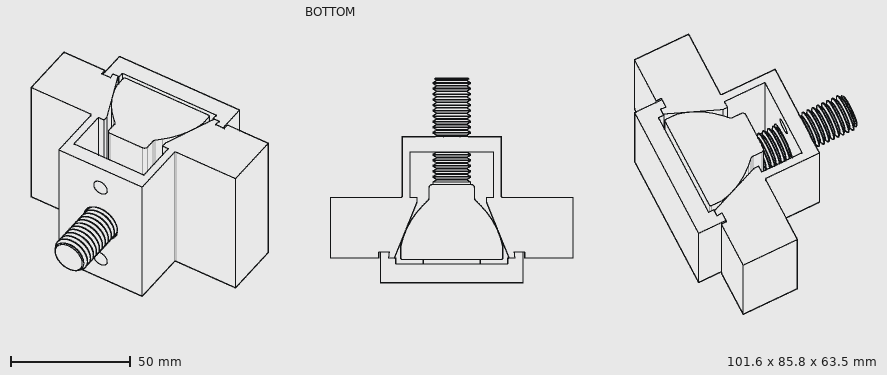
import cadquery as cq
import math


height = 63.5

flange_half = 50.8
flange_depth = 25.4
channel_half = 20.7
channel_depth = 25.4
channel_wall = 3.4
front_wall = 6.5
corner_radius = 0.5
throat_half = 14.5
throat_land = 2.1
throat_angle = math.radians(22)
groove_depth = 2.4
groove_half = 30.5
ridge_half = 26.4
ridge_undercut = 0.3
screw_hole_radius = 8.3
side_hole_radius = 3.4
side_hole_offset = 20.6

cap_half = 29.9
cap_back = 35.8
cap_floor = 27.8
cap_pocket_half = 23.4

wedge_half = 21.3
wedge_back = 26.1
wedge_front = -5.4
neck_half = 9.5
flank_radius = 33.5
flank_center_y = 27.2
shoulder_angle = math.radians(45)
wedge_back_radius = 0.7
neck_radius = 1.4
shoulder_fillet = 1.5

overall_depth = 85.8
head_radius = 12.0
thread_radius = 7.9
thread_depth = 1.4
thread_pitch = 2.31
thread_flat = thread_pitch / 8
first_root = -7.4
tip_chamfer = 1.2

throat_slope = math.tan(throat_angle)
mouth_half = throat_half + (flange_depth - throat_land) * throat_slope
screw_tip = cap_back - overall_depth


def extrude_outline(outline):
    """Extrude a closed plan outline over the full height, centred on Z = 0."""
    return outline.extrude(height / 2, both=True)


def mirrored_prism(right_half):
    """Prism from the right half of a plan outline, whose ends lie on the symmetry plane."""
    left_half = [(-x, y) for x, y in reversed(right_half) if x > 0]
    return extrude_outline(cq.Workplane("XY").polyline(right_half + left_half).close())


def cross_hole(radius, z):
    """Cylinder along Y that passes through the front wall of the channel."""
    wall_face = cq.Workplane("XZ", origin=(0, front_wall - channel_depth, z))
    return wall_face.circle(radius).extrude(front_wall)


def make_housing():
    groove_floor = flange_depth - groove_depth
    inner_half = channel_half - channel_wall
    inner_front = front_wall - channel_depth
    body = mirrored_prism([
        (0, -channel_depth),
        (channel_half, -channel_depth),
        (channel_half, 0),
        (flange_half, 0),
        (flange_half, flange_depth),
        (groove_half, flange_depth),
        (groove_half, groove_floor),
        (ridge_half - ridge_undercut, groove_floor),
        (ridge_half, flange_depth),
        (mouth_half, flange_depth),
        (throat_half, throat_land),
        (throat_half, 0),
        (inner_half, 0),
        (inner_half, inner_front),
        (0, inner_front),
    ])
    for side in (-1, 1):
        corner = cq.selectors.NearestToPointSelector((side * channel_half, 0, 0))
        body = body.edges("|Z").edges(corner).fillet(corner_radius)
    body = body.cut(cross_hole(screw_hole_radius, 0))
    for z in (-side_hole_offset, side_hole_offset):
        body = body.cut(cross_hole(side_hole_radius, z))
    return body


def make_cap():
    lip_end = flange_depth - groove_depth
    return mirrored_prism([
        (0, cap_back),
        (cap_half, cap_back),
        (cap_half, lip_end),
        (ridge_half - ridge_undercut, lip_end),
        (ridge_half, flange_depth),
        (cap_pocket_half, flange_depth),
        (cap_pocket_half, cap_floor),
        (0, cap_floor),
    ])


def make_wedge():
    throat_x_at_center = throat_half + (flank_center_y - throat_land) * throat_slope
    center_x = throat_x_at_center - flank_radius / math.cos(throat_angle)

    def flank_point(angle):
        x = center_x + flank_radius * math.cos(angle)
        y = flank_center_y - flank_radius * math.sin(angle)
        return x, y

    start_angle = math.acos((wedge_half - center_x) / flank_radius)
    start = flank_point(start_angle)
    middle = flank_point((start_angle + shoulder_angle) / 2)
    end = flank_point(shoulder_angle)
    shoulder_y = end[1] - (end[0] - neck_half) / math.tan(shoulder_angle)
    half = extrude_outline(
        cq.Workplane("XY")
        .moveTo(0, wedge_back)
        .lineTo(wedge_half, wedge_back)
        .lineTo(*start)
        .threePointArc(middle, end)
        .lineTo(neck_half, shoulder_y)
        .lineTo(neck_half, wedge_front)
        .lineTo(0, wedge_front)
        .close()
    )
    rounded_corners = [
        (wedge_half, wedge_back, wedge_back_radius),
        (neck_half, shoulder_y, shoulder_fillet),
        (neck_half, wedge_front, neck_radius),
    ]
    for x, y, radius in rounded_corners:
        corner = cq.selectors.NearestToPointSelector((x, y, 0))
        half = half.edges("|Z").edges(corner).fillet(radius)
    body = half.union(half.mirror("YZ"))
    bore = cq.Workplane("XZ", origin=(0, wedge_back, 0)).circle(thread_radius)
    return body.cut(bore.extrude(wedge_back - wedge_front))


def make_screw():
    screw = (
        cq.Workplane("XZ", origin=(0, cap_floor, 0))
        .circle(head_radius)
        .extrude(cap_floor - wedge_back)
        .faces("<Y")
        .workplane()
        .circle(thread_radius)
        .extrude(wedge_back - screw_tip)
        .faces("<Y")
        .chamfer(tip_chamfer)
    )
    root_radius = thread_radius - thread_depth
    groove_outer_half = (thread_pitch - thread_flat) / 2
    groove_root_half = thread_flat / 2
    groove = (
        cq.Workplane("XY")
        .polyline([
            (thread_radius, groove_outer_half),
            (root_radius, groove_root_half),
            (root_radius, -groove_root_half),
            (thread_radius, -groove_outer_half),
        ])
        .close()
        .revolve(360, (0, 0, 0), (0, 1, 0))
    )
    groove_count = math.floor((first_root - screw_tip) / thread_pitch) + 1
    for index in range(groove_count):
        screw = screw.cut(groove.translate((0, first_root - index * thread_pitch, 0)))
    return screw


housing = make_housing()
cap = make_cap()
wedge = make_wedge()
screw = make_screw()

result = cq.Compound.makeCompound([
    housing.solids().val(),
    cap.solids().val(),
    wedge.solids().val(),
    screw.solids().val(),
])